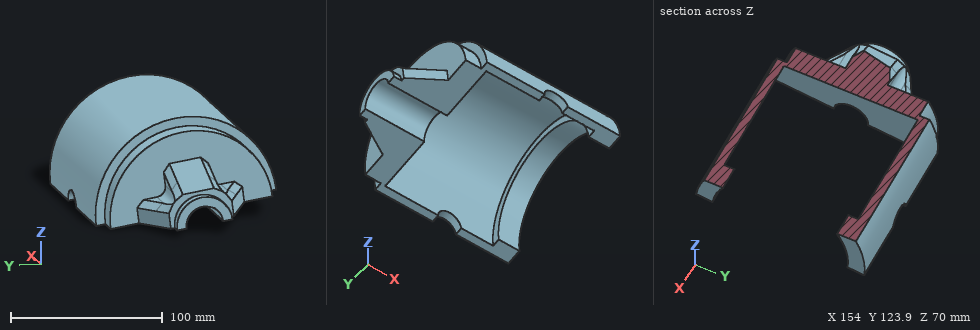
import cadquery as cq

total_length = 154.0
split_tilt = 7.2
body_radius = 62.2
spigot_radius = 55.9
neck_radius = 19.1
bore_radius = 12.6

nose_start = 6.2
spigot_start = 31.7
body_start = 44.5
cavity_start = 48.4
lip_start = 136.9

cavity_radius = 56.0
lip_radius = 49.9
cross_hole_x = 101.3
cross_hole_radius = 9.4

rib_half_width = 15.4
rib_flat_half_width = 10.8
rib_front_height = 21.7
rib_rear_height = 36.3
rib_front_valley = 17.5
rib_chamfer_slope = 1.1
chamfer_break = 17.0
rib_fillet = 6.6
rib_angles = (-90, 0, 90)


def half_cylinder(start, end, radius):
    """Upper half of a cylinder along X."""
    return (
        cq.Workplane("YZ", origin=(start, 0, 0))
        .moveTo(-radius, 0)
        .threePointArc((0, radius), (radius, 0))
        .close()
        .extrude(end - start)
    )


def rib_sector(height, valley):
    """Quarter sector outline with a flat top and two chamfers ending on the diagonals."""
    return [
        (0, 0),
        (valley, valley),
        (rib_flat_half_width, height),
        (-rib_flat_half_width, height),
        (-valley, valley),
    ]


def chamfer_valley(height):
    """Distance at which a chamfer of the constant slope reaches the diagonal."""
    return (height + rib_chamfer_slope * rib_flat_half_width) / (1 + rib_chamfer_slope)


def rib_envelope():
    """Sloping rib whose chamfers are flat behind the break and blend to the front face."""
    nose_length = spigot_start - nose_start
    break_share = (chamfer_break - nose_start) / nose_length
    break_height = rib_front_height + break_share * (rib_rear_height - rib_front_height)
    return (
        cq.Workplane("YZ", origin=(nose_start, 0, 0))
        .polyline(rib_sector(rib_front_height, rib_front_valley))
        .close()
        .workplane(offset=chamfer_break - nose_start)
        .polyline(rib_sector(break_height, chamfer_valley(break_height)))
        .close()
        .workplane(offset=spigot_start - chamfer_break)
        .polyline(rib_sector(rib_rear_height, chamfer_valley(rib_rear_height)))
        .close()
        .loft(ruled=True)
    )


def nose():
    """Three ribs around the bore, trimmed to a cross section with filleted corners."""
    fillet_end = rib_half_width + rib_fillet
    cross_section = (
        cq.Workplane("YZ", origin=(nose_start, 0, 0))
        .moveTo(-body_radius, 0)
        .lineTo(-body_radius, rib_half_width)
        .lineTo(-fillet_end, rib_half_width)
        .tangentArcPoint((-rib_half_width, fillet_end), relative=False)
        .lineTo(-rib_half_width, body_radius)
        .lineTo(rib_half_width, body_radius)
        .lineTo(rib_half_width, fillet_end)
        .tangentArcPoint((fillet_end, rib_half_width), relative=False)
        .lineTo(body_radius, rib_half_width)
        .lineTo(body_radius, 0)
        .close()
        .extrude(spigot_start - nose_start)
    )
    ribs = cq.Workplane("YZ")
    for angle in rib_angles:
        rib = rib_envelope().rotate((0, 0, 0), (1, 0, 0), angle)
        ribs = ribs.union(rib.intersect(cross_section))
    return ribs


housing = (
    half_cylinder(0, spigot_start, neck_radius)
    .union(nose())
    .union(half_cylinder(spigot_start, body_start, spigot_radius))
    .union(half_cylinder(body_start, total_length, body_radius))
)

housing = (
    housing.cut(half_cylinder(0, cavity_start, bore_radius))
    .cut(half_cylinder(cavity_start, lip_start, cavity_radius))
    .cut(half_cylinder(lip_start, total_length, lip_radius))
)

cross_hole = (
    cq.Workplane("XZ")
    .center(cross_hole_x, 0)
    .circle(cross_hole_radius)
    .extrude(body_radius, both=True)
)
housing = housing.cut(cross_hole)

result = housing.rotate((0, 0, 0), (1, 0, 0), -split_tilt)